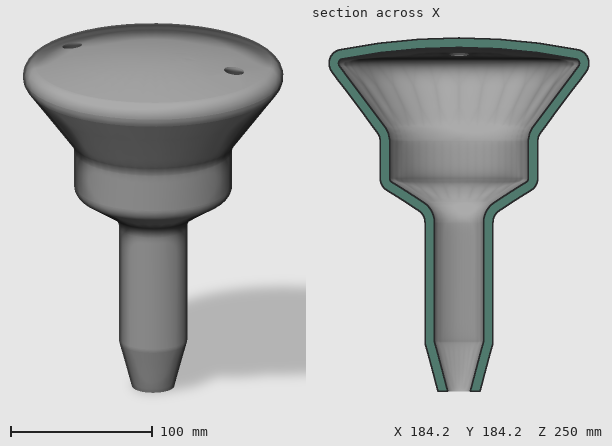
import cadquery as cq
import math

total_height = 250.0
rim_diameter = 184.15

dome_radius = 430.0
blend_radius = 10.0

tip_radius = 15.0
stem_radius = 24.2
collar_radius = 55.9
tip_half_angle = 15.0
lower_cone_half_angle = 57.4
head_half_angle = 36.87
lower_cone_base_z = 125.0

wall_thickness = 7.0
hole_diameter = 14.0
hole_offset = 63.0

rim_center_r = rim_diameter / 2 - blend_radius
dome_center_z = total_height - dome_radius
rim_center_z = dome_center_z + math.sqrt((dome_radius - blend_radius) ** 2 - rim_center_r ** 2)


def rise(radius_change, half_angle):
    """Height over which a cone of the given half angle changes radius."""
    return radius_change / math.tan(math.radians(half_angle))


def rim_point(elevation):
    """Point of the rim arc at an angle in degrees above the horizontal."""
    angle = math.radians(elevation)
    return (
        rim_center_r + blend_radius * math.cos(angle),
        rim_center_z + blend_radius * math.sin(angle),
    )


def dome_point(radius):
    """Point of the dome's spherical surface at a distance from the axis."""
    return (radius, dome_center_z + math.sqrt(dome_radius ** 2 - radius ** 2))


def toward(start, end, distance):
    """Point at a distance from start along the line to end."""
    span = math.dist(start, end)
    return tuple(s + (e - s) * distance / span for s, e in zip(start, end))


def add_rounded_corner(outline, before, corner, after):
    """Draw up to a corner and round it with an arc tangent to both sides."""
    to_before = toward((0, 0), (before[0] - corner[0], before[1] - corner[1]), 1)
    to_after = toward((0, 0), (after[0] - corner[0], after[1] - corner[1]), 1)
    half_corner = math.acos(to_before[0] * to_after[0] + to_before[1] * to_after[1]) / 2
    setback = blend_radius / math.tan(half_corner)
    crown_distance = blend_radius / math.sin(half_corner) - blend_radius
    bisector = (to_before[0] + to_after[0], to_before[1] + to_after[1])
    inside = (corner[0] + bisector[0], corner[1] + bisector[1])
    return outline.lineTo(*toward(corner, before, setback)).threePointArc(
        toward(corner, inside, crown_distance), toward(corner, after, setback)
    )


def make_body():
    """Solid of revolution: tapered tip, stem, collar, flared head and dome."""
    head_edge = rim_point(-head_half_angle)
    dome_edge_angle = math.degrees(math.atan2(rim_center_z - dome_center_z, rim_center_r))
    dome_edge = rim_point(dome_edge_angle)
    lower_cone_top_z = lower_cone_base_z + rise(collar_radius - stem_radius, lower_cone_half_angle)
    collar_top_z = head_edge[1] - rise(head_edge[0] - collar_radius, head_half_angle)
    points = [
        (tip_radius, 0),
        (stem_radius, rise(stem_radius - tip_radius, tip_half_angle)),
        (stem_radius, lower_cone_base_z),
        (collar_radius, lower_cone_top_z),
        (collar_radius, collar_top_z),
        head_edge,
    ]

    outline = cq.Workplane("XZ").lineTo(*points[0])
    for before, corner, after in zip(points, points[1:], points[2:]):
        outline = add_rounded_corner(outline, before, corner, after)
    outline = (
        outline.lineTo(*head_edge)
        .threePointArc(rim_point(-head_half_angle / 2), rim_point(0))
        .threePointArc(rim_point(dome_edge_angle / 2), dome_edge)
        .threePointArc(dome_point(dome_edge[0] / 2), (0, total_height))
        .close()
    )
    return outline.revolve(360, (0, 0, 0), (0, 1, 0))


def cut_dome_holes(body):
    """Two vertical holes through the dome wall into the hollow."""
    drills = (
        cq.Workplane("XY", origin=(0, 0, rim_center_z))
        .pushPoints([(-hole_offset, 0), (hole_offset, 0)])
        .circle(hole_diameter / 2)
        .extrude(total_height - rim_center_z)
    )
    return body.cut(drills)


hollow_body = make_body().faces("<Z").shell(-wall_thickness)
result = cut_dome_holes(hollow_body)